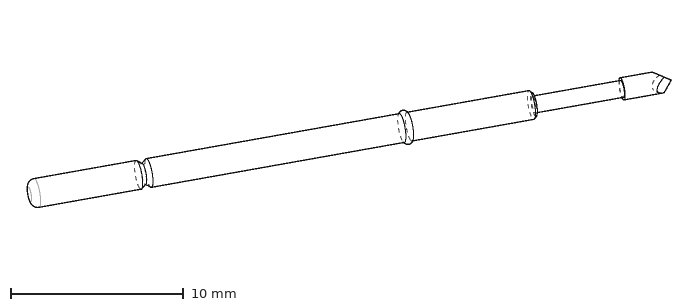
import cadquery as cq
import math

length = 38.7
tip_y = length / 2

barrel_radius = 0.85
collar_radius = 1.0
neck_radius = 0.5
head_radius = 0.65

head_end = 2.98
barrel_start = 8.3
collar_center = 16.02
groove_center = 31.8

mouth_chamfer = 0.15
collar_width = 0.45
groove_width = 0.6
groove_depth = 0.25
tail_rounding = 0.43
tip_facets = 3
tip_half_angle = 32.0


def cylinder(radius, start, end):
    """Round bar on the pin axis between two distances from the tip."""
    plane = cq.Workplane("XZ", origin=(0, tip_y - start, 0))
    return plane.circle(radius).extrude(end - start)


def make_barrel():
    """Main tube, chamfered at the mouth and rounded at the tail."""
    barrel = cylinder(barrel_radius, barrel_start, length)
    barrel = barrel.faces(">Y").chamfer(mouth_chamfer)
    return barrel.faces("<Y").edges().fillet(tail_rounding)


def make_collar():
    """Press ring with a rounded crown, rising from the barrel surface."""
    center_y = tip_y - collar_center
    half_width = collar_width / 2
    return (
        cq.Workplane("XY")
        .moveTo(0, center_y - half_width)
        .lineTo(barrel_radius, center_y - half_width)
        .threePointArc((collar_radius, center_y), (barrel_radius, center_y + half_width))
        .lineTo(0, center_y + half_width)
        .close()
        .revolve(360, (0, 0, 0), (0, 1, 0))
    )


def make_groove():
    """Ring with a V-shaped section, cut from the barrel."""
    center_y = tip_y - groove_center
    half_width = groove_width / 2
    return (
        cq.Workplane("XY")
        .moveTo(barrel_radius, center_y - half_width)
        .lineTo(barrel_radius - groove_depth, center_y)
        .lineTo(barrel_radius, center_y + half_width)
        .close()
        .revolve(360, (0, 0, 0), (0, 1, 0))
    )


def make_head():
    """Round head sharpened to a point by equal flat facets, the first one facing +X."""
    head = cylinder(head_radius, 0, head_end)
    facet_drop = head_radius / math.tan(math.radians(tip_half_angle))
    waste_reach = 2 * head_radius
    waste = (
        cq.Workplane("XY")
        .moveTo(0, tip_y)
        .lineTo(waste_reach, tip_y - 2 * facet_drop)
        .lineTo(waste_reach, tip_y)
        .close()
        .extrude(waste_reach, both=True)
    )
    for index in range(tip_facets):
        head = head.cut(waste.rotate((0, 0, 0), (0, 1, 0), index * 360 / tip_facets))
    return head


neck = cylinder(neck_radius, head_end, barrel_start)
result = make_barrel().union(make_collar()).cut(make_groove()).union(neck).union(make_head())